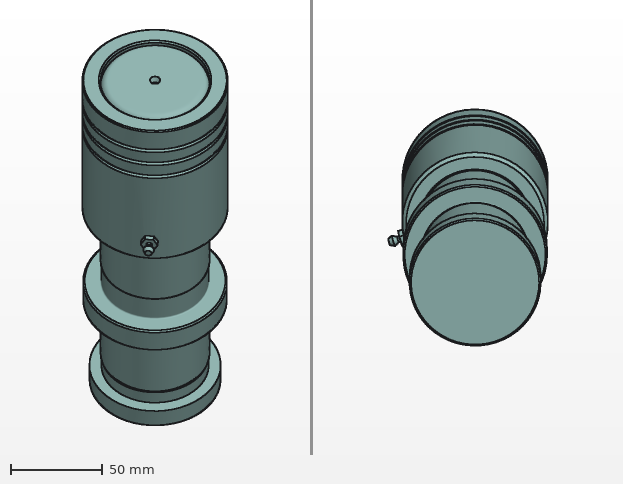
import cadquery as cq
import math

total_height = 232.0
bush_length = 100.0
bush_bottom = total_height - bush_length

pillar_radius = 30.0
pillar_top_fillet = 5.0
pillar_end_chamfer = 1.5
neck_radius = 29.5
neck_length = 6.8
relief_length = 0.7
relief_taper_length = 0.3
collar_bottom = 62.0
collar_thickness = 15.0
collar_radius = 39.5
collar_chamfer = 1.0
collar_root_fillet = 1.0
collar_top = collar_bottom + collar_thickness

center_hole_radius = 2.8
center_pilot_radius = 1.2
center_pilot_length = 2.8
center_cone_half_angle = 30.0

cap_height = 20.0
cap_flange_thickness = 12.0
cap_flange_radius = 36.0
cap_flange_chamfer = 1.0

bush_radius = 40.0
bush_top_chamfer = 0.7
bush_bottom_chamfer = 2.0
bore_chamfer = 1.0
groove_count = 3
groove_first_depth = 15.0
groove_pitch = 10.0
groove_half_width = 1.2

nipple_angle = -35.0
nipple_height = bush_bottom + 15.0
shank_radius = 3.0
shank_depth = 6.0
hex_across_flats = 8.1
hex_height = 2.8
nipple_neck_radius = 1.6
nipple_neck_length = 1.5
head_radius = 3.0
head_tip_radius = 1.9
head_flare_length = 2.5
head_taper_length = 2.5


def revolve_profile(points):
    """Solid of revolution about Z from (radius, height) points."""
    return cq.Workplane("XZ").polyline(points).close().revolve(360, (0, 0), (0, 1))


def along_nipple_axis(shape):
    """Place a shape built along +Z so that it points radially out at the nipple."""
    return (
        shape.rotate((0, 0, 0), (0, 1, 0), 90)
        .rotate((0, 0, 0), (0, 0, 1), nipple_angle)
        .translate((0, 0, nipple_height))
    )


def make_center_hole():
    cone_depth = (center_hole_radius - center_pilot_radius) / math.tan(math.radians(center_cone_half_angle))
    cone_bottom = total_height - cone_depth
    pilot_bottom = cone_bottom - center_pilot_length
    return revolve_profile([
        (0, total_height),
        (center_hole_radius, total_height),
        (center_pilot_radius, cone_bottom),
        (center_pilot_radius, pilot_bottom),
        (0, pilot_bottom),
    ])


def make_pillar():
    shaft = (
        cq.Workplane("XY", origin=(0, 0, cap_height))
        .circle(pillar_radius)
        .extrude(total_height - cap_height)
        .faces(">Z").edges().fillet(pillar_top_fillet)
        .faces("<Z").edges().chamfer(pillar_end_chamfer)
    )
    upper_relief = make_relief(collar_top, neck_length, 2.3)
    lower_relief = make_relief(collar_bottom, relief_length, -2.3)
    collar = (
        cq.Workplane("XY", origin=(0, 0, collar_bottom))
        .circle(collar_radius)
        .extrude(collar_thickness)
        .edges().chamfer(collar_chamfer)
    )
    upper_root = make_root_fillet(collar_top, 1)
    lower_root = make_root_fillet(collar_bottom, -1)
    pillar = shaft.cut(upper_relief).cut(lower_relief)
    return pillar.union(collar).union(upper_root).union(lower_root).cut(make_center_hole())


def make_relief(height, length, direction):
    """Ring that reduces the shaft to the neck radius; direction is +1 above the collar, -1 below."""
    return revolve_profile([
        (neck_radius, height),
        (pillar_radius, height),
        (pillar_radius, height + direction * length),
        (neck_radius, height + direction * (length - relief_taper_length)),
    ])


def make_root_fillet(height, direction):
    """Concave ring in the corner between collar and neck; direction is +1 above the collar, -1 below."""
    size = collar_root_fillet
    sag = size * (1 - math.sqrt(0.5))
    return (
        cq.Workplane("XZ")
        .moveTo(neck_radius - size, height)
        .lineTo(neck_radius + size, height)
        .threePointArc((neck_radius + sag, height + direction * sag), (neck_radius, height + direction * size))
        .lineTo(neck_radius - size, height + direction * size)
        .close()
        .revolve(360, (0, 0), (0, 1))
    )


def make_cap():
    flange = (
        cq.Workplane("XY")
        .circle(cap_flange_radius)
        .extrude(cap_flange_thickness)
        .faces("<Z").edges().chamfer(cap_flange_chamfer)
    )
    spigot = cq.Workplane("XY").circle(neck_radius).extrude(cap_height)
    return flange.union(spigot)


def make_groove(height):
    return revolve_profile([
        (bush_radius - groove_half_width, height),
        (bush_radius, height + groove_half_width),
        (bush_radius + groove_half_width, height + groove_half_width),
        (bush_radius + groove_half_width, height - groove_half_width),
        (bush_radius, height - groove_half_width),
    ])


def make_bush():
    bush = revolve_profile([
        (pillar_radius, bush_bottom + bore_chamfer),
        (pillar_radius + bore_chamfer, bush_bottom),
        (bush_radius - bush_bottom_chamfer, bush_bottom),
        (bush_radius, bush_bottom + bush_bottom_chamfer),
        (bush_radius, total_height - bush_top_chamfer),
        (bush_radius - bush_top_chamfer, total_height),
        (pillar_radius + bore_chamfer, total_height),
        (pillar_radius, total_height - bore_chamfer),
    ])
    for index in range(groove_count):
        groove_height = total_height - groove_first_depth - index * groove_pitch
        bush = bush.cut(make_groove(groove_height))
    shank_hole = (
        cq.Workplane("XY", origin=(0, 0, bush_radius - shank_depth))
        .circle(shank_radius)
        .extrude(2 * shank_depth)
    )
    return bush.cut(along_nipple_axis(shank_hole))


def make_nipple():
    shank_end = bush_radius - shank_depth
    hex_top = bush_radius + hex_height
    neck_end = hex_top + nipple_neck_length
    head_crest = neck_end + head_flare_length
    head_end = head_crest + head_taper_length

    hexagon = (
        cq.Workplane("XY", origin=(0, 0, shank_end))
        .polygon(6, hex_across_flats, circumscribed=True)
        .extrude(hex_top - shank_end)
    )
    bush_envelope = (
        cq.Workplane("XY", origin=(0, 0, bush_bottom))
        .circle(bush_radius)
        .extrude(bush_length)
    )
    hexagon = along_nipple_axis(hexagon).cut(bush_envelope)

    stem = revolve_profile([
        (0, shank_end),
        (shank_radius, shank_end),
        (shank_radius, hex_top),
        (nipple_neck_radius, hex_top),
        (nipple_neck_radius, neck_end),
        (head_radius, head_crest),
        (head_tip_radius, head_end),
        (0, head_end),
    ])
    return hexagon.union(along_nipple_axis(stem))


pillar = make_pillar()
cap = make_cap()
bush = make_bush()
nipple = make_nipple()

result = cq.Compound.makeCompound([pillar.val(), cap.val(), bush.val(), nipple.val()])